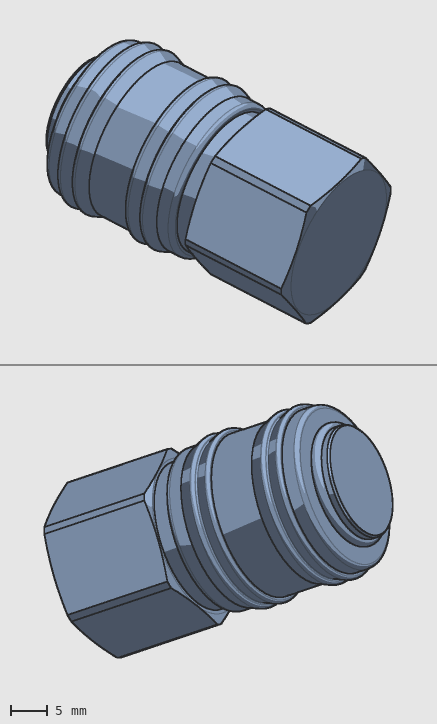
import cadquery as cq
import math


TIP_DIAMETER = 15.95
TIP_CHAMFER_LENGTH = 0.35
TIP_CHAMFER_DEPTH = 0.2

SLEEVE_DIAMETER = 23.3
SLEEVE_START = 2.75
SLEEVE_END = 24.15
SLEEVE_FRONT_FILLET = 0.6
SLEEVE_REAR_FILLET = 0.7

RING_MEAN_DIAMETER = 16.1
RING_WIRE_DIAMETER = 1.5
RING_X = SLEEVE_START - RING_WIRE_DIAMETER / 2
RING_GAP_START = 10.5
RING_GAP_END = 17.7
GROOVE_DIAMETER = 14.45

RIB_DIAMETER = 24.8
RIB_CONE_ANGLE = 21.2
RIB_CREST_RADIUS = 0.45
RIB_VALLEY_RADIUS = 0.17
FIRST_RIB_X = 5.25
RIB_PITCH = 2.45
RIB_PAIR_PITCH = 11.42

NECK_DIAMETER = 21.0
HEX_SIDES = 6
HEX_START = 26.65
TOTAL_LENGTH = 43.6
HEX_ACROSS_FLATS = 22.0
HEX_CORNER_DIAMETER = 24.8
HEX_CHAMFER_ANGLE = 15.0
HEX_FRONT_FACE_DIAMETER = 22.0
HEX_REAR_FACE_DIAMETER = 21.6


def cylinder(diameter, start, end):
    """Cylinder on the X axis between two stations."""
    return cq.Workplane("YZ", origin=(start, 0, 0)).circle(diameter / 2).extrude(end - start)


def revolve_about_x(profile):
    """Close an XY outline that starts and ends on the X axis, and turn it about X."""
    return profile.close().revolve(360, (0, 0, 0), (1, 0, 0))


def make_tip():
    radius = TIP_DIAMETER / 2
    return revolve_about_x(
        cq.Workplane("XY")
        .lineTo(0, radius - TIP_CHAMFER_DEPTH)
        .lineTo(TIP_CHAMFER_LENGTH, radius)
        .lineTo(SLEEVE_START, radius)
        .lineTo(SLEEVE_START, 0)
    )


def make_sleeve():
    barrel = cylinder(SLEEVE_DIAMETER, SLEEVE_START, SLEEVE_END)
    barrel = barrel.faces("<X").edges().fillet(SLEEVE_FRONT_FILLET)
    return barrel.faces(">X").edges().fillet(SLEEVE_REAR_FILLET)


def make_rib_pair(front_x):
    """Two ribs, with the valley between them rounded; the first has its front face at front_x."""
    slope = math.radians(RIB_CONE_ANGLE)
    second_x = front_x + RIB_PITCH
    root = SLEEVE_DIAMETER / 2
    crest_center = RIB_DIAMETER / 2 - RIB_CREST_RADIUS

    def crest_point(face_x, angle):
        """Point on the crest arc, at an angle from the radial direction towards the rear."""
        return (
            face_x + RIB_CREST_RADIUS * (1 + math.sin(angle)),
            crest_center + RIB_CREST_RADIUS * math.cos(angle),
        )

    mid_angle = (slope - math.pi / 2) / 2
    first_cone = crest_point(front_x, slope)
    second_cone = crest_point(second_x, slope)
    cone_end = (second_cone[0] + (second_cone[1] - root) / math.tan(slope), root)

    valley_x = second_x - RIB_VALLEY_RADIUS
    touch_x = valley_x - RIB_VALLEY_RADIUS * math.sin(slope)
    touch_r = first_cone[1] - (touch_x - first_cone[0]) * math.tan(slope)
    valley_r = touch_r + RIB_VALLEY_RADIUS * math.cos(slope)
    valley_mid = (
        valley_x - RIB_VALLEY_RADIUS * math.sin(mid_angle),
        valley_r - RIB_VALLEY_RADIUS * math.cos(mid_angle),
    )

    return revolve_about_x(
        cq.Workplane("XY")
        .moveTo(front_x, 0)
        .lineTo(front_x, crest_center)
        .threePointArc(crest_point(front_x, mid_angle), first_cone)
        .lineTo(touch_x, touch_r)
        .threePointArc(valley_mid, (second_x, valley_r))
        .lineTo(second_x, crest_center)
        .threePointArc(crest_point(second_x, mid_angle), second_cone)
        .lineTo(*cone_end)
        .lineTo(cone_end[0], 0)
    )


def make_hexagon():
    """Hexagon with corners on +Y and -Y, turned round at its corners and chamfered at both ends."""
    length = TOTAL_LENGTH - HEX_START
    prism = (
        cq.Workplane("YZ", origin=(HEX_START, 0, 0))
        .polygon(HEX_SIDES, HEX_ACROSS_FLATS / math.cos(math.pi / HEX_SIDES))
        .extrude(length)
    )
    corner_r = HEX_CORNER_DIAMETER / 2
    front_r = HEX_FRONT_FACE_DIAMETER / 2
    rear_r = HEX_REAR_FACE_DIAMETER / 2
    chamfer_slope = math.tan(math.radians(HEX_CHAMFER_ANGLE))
    turned = revolve_about_x(
        cq.Workplane("XY")
        .moveTo(HEX_START, 0)
        .lineTo(HEX_START, front_r)
        .lineTo(HEX_START + (corner_r - front_r) * chamfer_slope, corner_r)
        .lineTo(TOTAL_LENGTH - (corner_r - rear_r) * chamfer_slope, corner_r)
        .lineTo(TOTAL_LENGTH, rear_r)
        .lineTo(TOTAL_LENGTH, 0)
    )
    return prism.intersect(turned)


def make_groove():
    """Space to remove from the tip for the snap ring."""
    groove_start = SLEEVE_START - RING_WIRE_DIAMETER
    band = cylinder(TIP_DIAMETER, groove_start, SLEEVE_START)
    return band.cut(cylinder(GROOVE_DIAMETER, groove_start, SLEEVE_START))


def make_snap_ring():
    """Round wire bent from one side of the gap round to the other."""
    gap_angle = RING_GAP_END - RING_GAP_START
    wire = (
        cq.Workplane("XZ")
        .center(RING_X, RING_MEAN_DIAMETER / 2)
        .circle(RING_WIRE_DIAMETER / 2)
        .revolve(360 - gap_angle, (0, -RING_MEAN_DIAMETER / 2, 0), (1, -RING_MEAN_DIAMETER / 2, 0))
    )
    return wire.rotate((0, 0, 0), (1, 0, 0), RING_GAP_END)


def make_coupler():
    body = make_tip().cut(make_groove()).union(make_sleeve())
    for front_x in (FIRST_RIB_X, FIRST_RIB_X + RIB_PAIR_PITCH):
        body = body.union(make_rib_pair(front_x))
    neck = cylinder(NECK_DIAMETER, SLEEVE_END, HEX_START)
    return body.union(neck).union(make_hexagon())


coupler = make_coupler()
snap_ring = make_snap_ring()

result = cq.Compound.makeCompound([coupler.val(), snap_ring.val()])